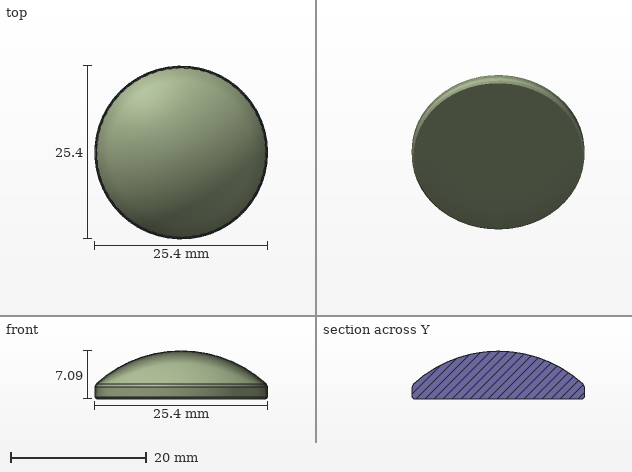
import cadquery as cq
import math

lens_radius = 12.7
lens_height = 7.09
bottom_chamfer = 0.28
edge_top_height = 1.78
dome_base_height = 2.24
dome_base_radius = 12.5

dome_rise = lens_height - dome_base_height
sphere_radius = (dome_base_radius**2 + dome_rise**2) / (2 * dome_rise)
mid_dome_radius = dome_base_radius / 2
sphere_center_height = lens_height - sphere_radius
mid_dome_height = sphere_center_height + math.sqrt(sphere_radius**2 - mid_dome_radius**2)

half_section = (
    cq.Workplane("XZ")
    .moveTo(0, 0)
    .lineTo(lens_radius - bottom_chamfer, 0)
    .lineTo(lens_radius, bottom_chamfer)
    .lineTo(lens_radius, edge_top_height)
    .lineTo(dome_base_radius, dome_base_height)
    .threePointArc((mid_dome_radius, mid_dome_height), (0, lens_height))
    .close()
)

result = half_section.revolve(360, (0, 0, 0), (0, 1, 0))